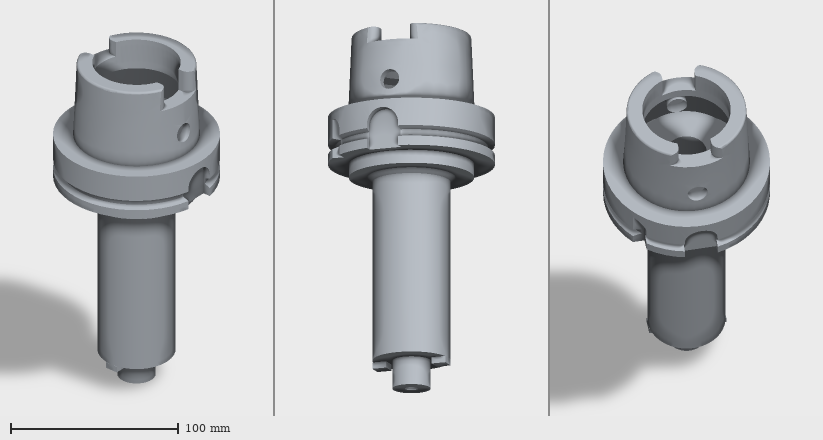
import cadquery as cq

total_height = 217.0
flange_top = 167.0
groove_middle = 147.0
flange_bottom = 138.0
collar_bottom = 130.0
cone_bottom = 127.2
shoulder = 17.1

taper_top_radius = 35.8
taper_base_radius = 38.0
taper_rim_fillet = 1.5
flange_diameter = 100.0
flange_radius = flange_diameter / 2
groove_floor_radius = 46.0
groove_floor_width = 3.5
groove_mouth_width = 6.5
collar_radius = 37.5
cone_top_radius = 26.5
arbor_radius = 23.5
spigot_radius = 11.5

socket_radius = 26.5
undercut_radius = 31.5
undercut_depth = 20.0
undercut_cone_height = 2.8
socket_depth = 40.8
thread_bore_radius = 12.2
thread_bore_depth = 25.0
screw_bore_radius = 6.0
screw_bore_depth = 10.8
coolant_radius = 4.0

drive_slot_width = 20.0
drive_slot_corner = 4.8
end_flat_distance = 32.3
drive_slot_depths = {-1: 10.0, 1: 14.3}
cross_hole_diameter = 12.2
cross_hole_drop = 34.7

side_notch_width = 20.0
notch_top = 162.0
side_notch_floor = 44.0
index_notch_width = 16.0
index_notch_y = 39.5
index_notch_floor = 32.0

key_width = 8.7
key_height = 4.0
key_inner = 14.5


def turned_body():
    half_floor = groove_floor_width / 2
    half_mouth = groove_mouth_width / 2
    profile = [
        (0, 0),
        (spigot_radius, 0),
        (spigot_radius, shoulder),
        (arbor_radius, shoulder),
        (arbor_radius, cone_bottom),
        (cone_top_radius, collar_bottom),
        (collar_radius, collar_bottom),
        (collar_radius, flange_bottom),
        (flange_radius, flange_bottom),
        (flange_radius, groove_middle - half_mouth),
        (groove_floor_radius, groove_middle - half_floor),
        (groove_floor_radius, groove_middle + half_floor),
        (flange_radius, groove_middle + half_mouth),
        (flange_radius, flange_top),
        (taper_base_radius, flange_top),
        (taper_top_radius, total_height),
        (0, total_height),
    ]
    body = cq.Workplane("XZ").polyline(profile).close().revolve(360, (0, 0), (0, 1))
    return body.faces(">Z").edges().fillet(taper_rim_fillet)


def axial_bore():
    undercut_top = total_height - undercut_depth
    socket_floor = total_height - socket_depth
    thread_floor = socket_floor - thread_bore_depth
    screw_floor = thread_floor - screw_bore_depth
    profile = [
        (0, 0),
        (coolant_radius, 0),
        (coolant_radius, screw_floor),
        (screw_bore_radius, screw_floor),
        (screw_bore_radius, thread_floor),
        (thread_bore_radius, thread_floor),
        (thread_bore_radius, socket_floor),
        (undercut_radius, socket_floor),
        (undercut_radius, undercut_top - undercut_cone_height),
        (socket_radius, undercut_top),
        (socket_radius, total_height),
        (0, total_height),
    ]
    return cq.Workplane("XZ").polyline(profile).close().revolve(360, (0, 0), (0, 1))


def drive_slot(side, depth):
    """Slot through one side of the rim; rounded mouth corners run out into end flats facing along X."""
    half_width = drive_slot_width / 2
    round_start = end_flat_distance - drive_slot_corner
    mouth_half = half_width + drive_slot_corner
    slot = (
        cq.Workplane("XY", origin=(0, 0, total_height - depth))
        .moveTo(0, -half_width)
        .lineTo(round_start, -half_width)
        .radiusArc((end_flat_distance, -mouth_half), drive_slot_corner)
        .lineTo(end_flat_distance, -flange_radius)
        .lineTo(flange_radius, -flange_radius)
        .lineTo(flange_radius, flange_radius)
        .lineTo(end_flat_distance, flange_radius)
        .lineTo(end_flat_distance, mouth_half)
        .radiusArc((round_start, half_width), drive_slot_corner)
        .lineTo(0, half_width)
        .close()
        .extrude(depth)
    )
    return slot if side > 0 else slot.mirror("YZ")


def flange_notch(width, center_y, floor_distance):
    """Notch on the -X side, open at the flange underside and round at its top."""
    radius = width / 2
    return (
        cq.Workplane("YZ", origin=(-floor_distance, 0, 0))
        .moveTo(center_y - radius, flange_bottom)
        .lineTo(center_y - radius, notch_top - radius)
        .threePointArc((center_y, notch_top), (center_y + radius, notch_top - radius))
        .lineTo(center_y + radius, flange_bottom)
        .close()
        .extrude(-flange_radius)
    )


def shoulder_keys():
    """Two blocks whose flat outer faces lie level with the sides of the arbor."""
    key_length = arbor_radius - key_inner
    return (
        cq.Workplane("XY", origin=(0, 0, shoulder - key_height))
        .pushPoints([(0, side * (key_inner + key_length / 2)) for side in (-1, 1)])
        .rect(key_width, key_length)
        .extrude(key_height)
    )


cross_hole = (
    cq.Workplane("YZ", origin=(0, 0, total_height - cross_hole_drop))
    .circle(cross_hole_diameter / 2)
    .extrude(flange_radius, both=True)
)
side_notch = flange_notch(side_notch_width, 0, side_notch_floor)
index_notch = flange_notch(index_notch_width, index_notch_y, index_notch_floor)

result = turned_body().union(shoulder_keys())
result = result.cut(axial_bore()).cut(cross_hole)
for side, depth in drive_slot_depths.items():
    result = result.cut(drive_slot(side, depth))
result = result.cut(side_notch).cut(side_notch.mirror("YZ")).cut(index_notch)